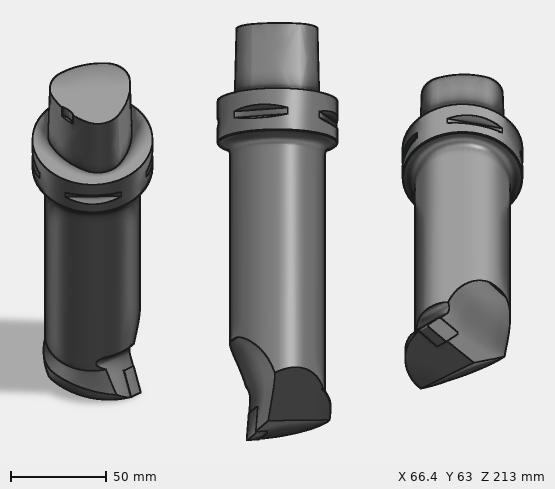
import cadquery as cq
import math

COUPLING_LENGTH = 38.0
FLAT_DISTANCE = 20.1
LOBE_CENTRE = 9.8
LOBE_RADIUS = 13.8
TAPER = 1 / 20
TAPER_INSET = COUPLING_LENGTH * TAPER / 2
KEY_WIDTH = 7.9
KEY_HEIGHT = 6.6
KEY_DEPTH = 1.3
KEY_SAG = 0.6

FLANGE_RADIUS = 63.0 / 2
FLANGE_HEIGHT = 22.5
SHANK_RADIUS = 50.0 / 2
NECK_FILLET = 6.0
FLANGE_CHAMFER = FLANGE_RADIUS - SHANK_RADIUS - NECK_FILLET
GRIP_Z = -12.0
GRIP_FLOOR = 27.85
GRIP_FLOOR_HEIGHT = 3.3
GRIP_MOUTH_HEIGHT = 7.2

TIP_X = 34.88
TIP_Y = 0.4
TIP_Z = -175.01
HEAD_TOP = -156.1
HEAD_FLARE = 0.6
HEAD_FRONT = -29.0
HEAD_RIGHT_RADIUS = 36.3
HEAD_LEFT_RADIUS = 18.3
BEVEL_TOP = -148.0
BEVEL_SLOPE = 1.03
END_Z = -171.95
END_SLOPE_X = -0.072
END_SLOPE_Y = -0.091
CUT_SIZE = 150.0

INSERT_ANGLE = 55.0
INSERT_CIRCLE = 12.7
INSERT_THICKNESS = 6.35
NOSE_RADIUS = 0.8
END_CLEARANCE = 3.0
RAKE_TILT = 7.0
RAKE_SWING = -8.8
FLANK_INSET = 0.5
RELIEF_RADIUS = 5.2
RELIEF_RUN = 22.0
FLUTE_FLOOR_LENGTH = 16.0
FLUTE_RADIUS = 44.0
FLUTE_SWEEP = 45.0

rake_plane = cq.Plane(
    origin=(TIP_X - NOSE_RADIUS, TIP_Y, TIP_Z + NOSE_RADIUS), xDir=(-1, 0, 0), normal=(0, 1, 0)
).rotated((RAKE_TILT, RAKE_SWING, 0))


def polar(radius, degrees):
    angle = math.radians(degrees)
    return cq.Vector(radius * math.cos(angle), radius * math.sin(angle))


def lobed_outline(workplane, inset):
    """Closed outline of three lobe arcs joined tangentially by three flatter arcs."""
    lobe_radius = LOBE_RADIUS - inset
    gap = FLAT_DISTANCE - LOBE_RADIUS
    side_centre = (LOBE_CENTRE**2 - gap**2) / (2 * gap - LOBE_CENTRE)
    side_radius = side_centre + FLAT_DISTANCE - inset

    def joint(lobe_angle, side_angle):
        centre = polar(LOBE_CENTRE, lobe_angle)
        outward = (centre - polar(-side_centre, side_angle)).normalized()
        return (centre + outward * lobe_radius).toTuple()[:2]

    outline = workplane.moveTo(*joint(90, 30))
    for lobe_angle in (90, 210, 330):
        next_side = lobe_angle + 60
        lobe_peak = polar(LOBE_CENTRE + lobe_radius, lobe_angle).toTuple()[:2]
        side_middle = polar(side_radius - side_centre, next_side).toTuple()[:2]
        outline = outline.threePointArc(lobe_peak, joint(lobe_angle, next_side))
        outline = outline.threePointArc(side_middle, joint(lobe_angle + 120, next_side))
    return outline.close()


def coupling():
    base = lobed_outline(cq.Workplane("XY"), 0)
    tapered = lobed_outline(base.workplane(offset=COUPLING_LENGTH), TAPER_INSET).loft(ruled=True)
    key_floor = FLAT_DISTANCE - TAPER_INSET - KEY_DEPTH
    keyway = (
        cq.Workplane("XY", origin=(0, 0, COUPLING_LENGTH))
        .moveTo(-KEY_WIDTH / 2, -FLANGE_RADIUS)
        .lineTo(-KEY_WIDTH / 2, -key_floor - KEY_SAG)
        .threePointArc((0, -key_floor), (KEY_WIDTH / 2, -key_floor - KEY_SAG))
        .lineTo(KEY_WIDTH / 2, -FLANGE_RADIUS)
        .close()
        .extrude(-KEY_HEIGHT)
    )
    return tapered.cut(keyway)


def flange_and_shank():
    fillet_mid = NECK_FILLET * (1 - math.sqrt(0.5))
    return (
        cq.Workplane("XZ")
        .lineTo(FLANGE_RADIUS, 0)
        .lineTo(FLANGE_RADIUS, FLANGE_CHAMFER - FLANGE_HEIGHT)
        .lineTo(FLANGE_RADIUS - FLANGE_CHAMFER, -FLANGE_HEIGHT)
        .threePointArc(
            (SHANK_RADIUS + fillet_mid, -FLANGE_HEIGHT - fillet_mid),
            (SHANK_RADIUS, -FLANGE_HEIGHT - NECK_FILLET),
        )
        .lineTo(SHANK_RADIUS, HEAD_TOP)
        .lineTo(0, HEAD_TOP)
        .close()
        .revolve(360, (0, 0), (0, 1))
    )


def grip_groove(angle):
    """Straight trapezoidal groove across the flange rim."""
    return (
        cq.Workplane("XZ", origin=(0, 0, GRIP_Z))
        .moveTo(GRIP_FLOOR, -GRIP_FLOOR_HEIGHT / 2)
        .lineTo(FLANGE_RADIUS, -GRIP_MOUTH_HEIGHT / 2)
        .lineTo(FLANGE_RADIUS, GRIP_MOUTH_HEIGHT / 2)
        .lineTo(GRIP_FLOOR, GRIP_FLOOR_HEIGHT / 2)
        .close()
        .extrude(FLANGE_RADIUS, both=True)
        .rotate((0, 0, 0), (0, 0, 1), angle)
    )


def flared_head():
    """Cone growing out of the shank, trimmed by an upright wall of two arcs."""
    height = HEAD_TOP - TIP_Z
    cone = cq.Workplane(
        cq.Solid.makeCone(
            SHANK_RADIUS,
            SHANK_RADIUS + HEAD_FLARE * height,
            height,
            cq.Vector(0, 0, HEAD_TOP),
            cq.Vector(0, 0, -1),
        )
    )
    arc_cos = math.sqrt(0.5)
    right_y = HEAD_FRONT + HEAD_RIGHT_RADIUS
    left_y = HEAD_FRONT + HEAD_LEFT_RADIUS
    wall = (
        cq.Workplane("XY", origin=(0, 0, TIP_Z))
        .moveTo(-HEAD_LEFT_RADIUS, left_y)
        .threePointArc((-HEAD_LEFT_RADIUS * arc_cos, left_y - HEAD_LEFT_RADIUS * arc_cos), (0, HEAD_FRONT))
        .threePointArc(
            (HEAD_RIGHT_RADIUS * arc_cos, right_y - HEAD_RIGHT_RADIUS * arc_cos), (HEAD_RIGHT_RADIUS, right_y)
        )
        .lineTo(HEAD_RIGHT_RADIUS, SHANK_RADIUS)
        .lineTo(-HEAD_LEFT_RADIUS, SHANK_RADIUS)
        .close()
        .extrude(height)
    )
    return cone.intersect(wall)


def half_space(origin, x_direction, normal):
    """Block filling the outer side of a plane."""
    plane = cq.Plane(origin=origin, xDir=x_direction, normal=normal)
    return cq.Workplane(plane).rect(CUT_SIZE, CUT_SIZE).extrude(CUT_SIZE)


def back_bevel():
    return half_space((-SHANK_RADIUS, 0, BEVEL_TOP), (0, 1, 0), (-BEVEL_SLOPE, 0, -1))


def end_face():
    return half_space((0, 0, END_Z), (1, 0, END_SLOPE_X), (END_SLOPE_X, END_SLOPE_Y, -1))


def chip_flute():
    """Space above the rake face: a flat floor that sweeps up and out of the shank."""
    sweep_angle = math.radians(FLUTE_SWEEP)
    end_up = FLUTE_FLOOR_LENGTH + FLUTE_RADIUS * math.sin(sweep_angle)
    end_out = FLUTE_RADIUS * (1 - math.cos(sweep_angle))
    profile_plane = cq.Plane(
        origin=rake_plane.origin.toTuple(), xDir=rake_plane.yDir.toTuple(), normal=rake_plane.xDir.toTuple()
    )
    return (
        cq.Workplane(profile_plane)
        .moveTo(-FLUTE_FLOOR_LENGTH, 0)
        .lineTo(FLUTE_FLOOR_LENGTH, 0)
        .threePointArc(
            (
                FLUTE_FLOOR_LENGTH + FLUTE_RADIUS * math.sin(sweep_angle / 2),
                FLUTE_RADIUS * (1 - math.cos(sweep_angle / 2)),
            ),
            (end_up, end_out),
        )
        .lineTo(end_up, CUT_SIZE)
        .lineTo(-FLUTE_FLOOR_LENGTH, CUT_SIZE)
        .close()
        .extrude(CUT_SIZE, both=True)
    )


def flank_relief():
    """Round-ended slot along the insert's side edge, square to the rake face."""
    offset = RELIEF_RADIUS + NOSE_RADIUS - FLANK_INSET
    return (
        cq.Workplane(rake_plane)
        .transformed(rotate=(0, 0, END_CLEARANCE + INSERT_ANGLE))
        .center(0, offset)
        .slot2D(2 * (RELIEF_RUN + RELIEF_RADIUS), 2 * RELIEF_RADIUS)
        .extrude(CUT_SIZE / 2, both=True)
    )


def cutting_insert():
    edge = INSERT_CIRCLE / math.sin(math.radians(INSERT_ANGLE))
    corner = polar(-NOSE_RADIUS / math.sin(math.radians(INSERT_ANGLE / 2)), END_CLEARANCE + INSERT_ANGLE / 2)
    end_edge = polar(edge, END_CLEARANCE)
    side_edge = polar(edge, END_CLEARANCE + INSERT_ANGLE)
    corners = [corner, corner + end_edge, corner + end_edge + side_edge, corner + side_edge]
    return (
        cq.Workplane(rake_plane)
        .polyline([point.toTuple()[:2] for point in corners])
        .close()
        .extrude(-INSERT_THICKNESS)
        .edges(cq.selectors.ParallelDirSelector(rake_plane.zDir))
        .fillet(NOSE_RADIUS)
    )


insert = cutting_insert()

holder = flange_and_shank().union(coupling()).union(flared_head())
for angle in (45, 135, 225, 315):
    holder = holder.cut(grip_groove(angle))
for removed in (back_bevel(), end_face(), chip_flute(), flank_relief(), insert):
    holder = holder.cut(removed)

result = cq.Compound.makeCompound([*holder.vals(), insert.val()])